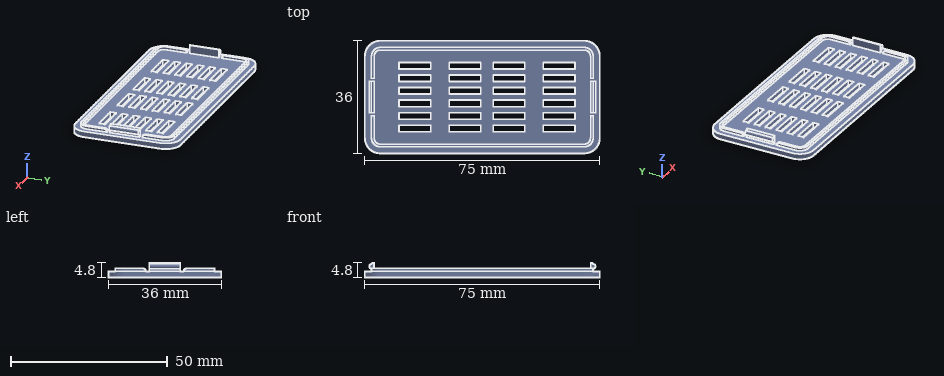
import cadquery as cq

PLATE_LENGTH = 75.0
PLATE_WIDTH = 36.0
PLATE_THICKNESS = 2.0
PLATE_CORNER_RADIUS = 5.0

RIM_INSET = 2.15
RIM_WALL = 0.85
RIM_HEIGHT = 1.0

CLIP_LENGTH = 10.0
CLIP_GAP = 1.0
CLIP_THICKNESS = RIM_WALL
TOTAL_HEIGHT = 4.8
TIP_ROUND_WIDTH = 0.65
TIP_ROUND_HEIGHT = 0.45
TIP_ROUND_RADIUS = 0.9
BARB_RADIUS = 0.75

SLOT_LENGTH = 10.0
SLOT_WIDTH = 2.0
SLOT_ROWS = 6
SLOT_ROW_PITCH = 4.0
SLOT_COLUMN_STARTS = (11.0, 27.0, 41.0, 57.0)

RIM_TOP = PLATE_THICKNESS + RIM_HEIGHT
RIM_GAP_LENGTH = CLIP_LENGTH + 2 * CLIP_GAP
CLIP_OUTER_X = PLATE_LENGTH / 2 - RIM_INSET
CLIP_INNER_X = CLIP_OUTER_X - CLIP_THICKNESS
BARB_TOP = TOTAL_HEIGHT - TIP_ROUND_HEIGHT
BARB_MIDDLE = BARB_TOP - BARB_RADIUS
BARB_BOTTOM = BARB_TOP - 2 * BARB_RADIUS


def rounded_slab(inset, bottom, height):
    """Rounded rectangle concentric with the plate outline, inset from it all round."""
    return (
        cq.Workplane("XY")
        .workplane(offset=bottom)
        .rect(PLATE_LENGTH - 2 * inset, PLATE_WIDTH - 2 * inset)
        .extrude(height)
        .edges("|Z")
        .fillet(PLATE_CORNER_RADIUS - inset)
    )


def rim_gap():
    """Cutter for both clip gaps; its flared sides round over the four rim ends."""
    half_gap = RIM_GAP_LENGTH / 2
    flare = half_gap + RIM_HEIGHT
    return (
        cq.Workplane("YZ")
        .moveTo(-half_gap, PLATE_THICKNESS)
        .lineTo(half_gap, PLATE_THICKNESS)
        .radiusArc((flare, RIM_TOP), RIM_HEIGHT)
        .lineTo(-flare, RIM_TOP)
        .radiusArc((-half_gap, PLATE_THICKNESS), RIM_HEIGHT)
        .close()
        .extrude(PLATE_LENGTH / 2, both=True)
    )


def rim():
    outer = rounded_slab(RIM_INSET, PLATE_THICKNESS, RIM_HEIGHT)
    inner = rounded_slab(RIM_INSET + RIM_WALL, PLATE_THICKNESS, RIM_HEIGHT)
    return outer.cut(inner).cut(rim_gap())


def clip():
    """Upright clip at the +X end, with a half-round barb outside and a shallow rounded tip."""
    return (
        cq.Workplane("XZ")
        .moveTo(CLIP_INNER_X, PLATE_THICKNESS)
        .lineTo(CLIP_OUTER_X, PLATE_THICKNESS)
        .lineTo(CLIP_OUTER_X, BARB_BOTTOM)
        .threePointArc((CLIP_OUTER_X + BARB_RADIUS, BARB_MIDDLE), (CLIP_OUTER_X, BARB_TOP))
        .radiusArc((CLIP_OUTER_X - TIP_ROUND_WIDTH, TOTAL_HEIGHT), -TIP_ROUND_RADIUS)
        .lineTo(CLIP_INNER_X, TOTAL_HEIGHT)
        .close()
        .extrude(CLIP_LENGTH / 2, both=True)
    )


def vent_slots():
    centers = []
    for start in SLOT_COLUMN_STARTS:
        x = start + SLOT_LENGTH / 2 - PLATE_LENGTH / 2
        for row in range(SLOT_ROWS):
            y = (row - (SLOT_ROWS - 1) / 2) * SLOT_ROW_PITCH
            centers.append((x, y))
    return (
        cq.Workplane("XY")
        .pushPoints(centers)
        .rect(SLOT_LENGTH, SLOT_WIDTH)
        .extrude(PLATE_THICKNESS)
    )


plate = rounded_slab(0, 0, PLATE_THICKNESS).cut(vent_slots())
right_clip = clip()
left_clip = right_clip.mirror("YZ")
result = plate.union(rim()).union(right_clip).union(left_clip)